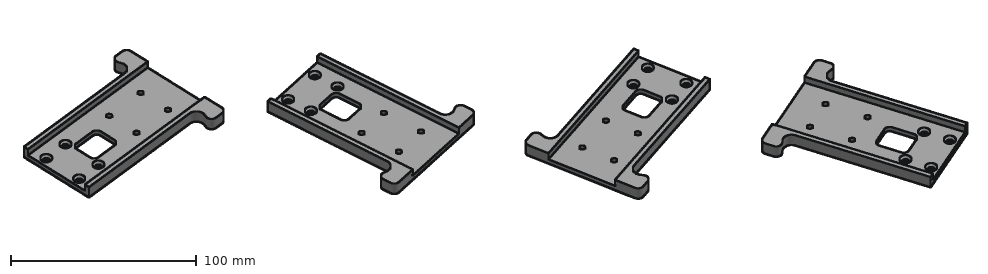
import cadquery as cq
import math

length = 95.25
overall_width = 73.1
height = 7.6
body_width = 47.6

channel_width = 41.6
floor_thickness = 3.2

ear_radius = 3.2
lobe_center_from_back = 8.1
notch_radius = 4.9
notch_center_from_back = 15.05

window_width = 16.1
window_length = 19.05
window_front = 21.5
window_radius = 3.05

plain_diameter = 3.2
plain_spacing_x = 20.0
plain_spacing_y = 25.0
plain_back_row_from_back = 17.4

screw_diameter = 3.4
countersink_diameter = 6.5
countersink_angle = 90.0
screw_spacing_x = 24.1
screw_spacing_y = 15.2
screw_front_row = 5.05


def point_on_circle(center, radius, angle):
    return (center[0] + radius * math.cos(angle), center[1] + radius * math.sin(angle))


def make_right_half():
    """Right half of the plate, with the ear lobe running tangentially into the notch."""
    outer_x = overall_width / 2
    body_x = body_width / 2
    lobe = (outer_x - ear_radius, length - lobe_center_from_back)
    notch = (body_x + notch_radius, length - notch_center_from_back)
    corner = (outer_x - ear_radius, length - ear_radius)

    dx = notch[0] - lobe[0]
    dy = notch[1] - lobe[1]
    to_notch = math.atan2(dy, dx)
    lobe_angle = to_notch + math.acos((ear_radius + notch_radius) / math.hypot(dx, dy))
    notch_angle = lobe_angle + math.pi

    return (
        cq.Workplane("XY")
        .moveTo(0, 0)
        .lineTo(0, length)
        .lineTo(corner[0], length)
        .threePointArc(point_on_circle(corner, ear_radius, math.pi / 4), (outer_x, corner[1]))
        .lineTo(outer_x, lobe[1])
        .threePointArc(
            point_on_circle(lobe, ear_radius, lobe_angle / 2),
            point_on_circle(lobe, ear_radius, lobe_angle),
        )
        .lineTo(*point_on_circle(notch, notch_radius, notch_angle))
        .threePointArc(
            point_on_circle(notch, notch_radius, (notch_angle + math.pi) / 2),
            (body_x, notch[1]),
        )
        .lineTo(body_x, 0)
        .close()
        .extrude(height)
    )


def make_channel():
    return (
        cq.Workplane("XY", origin=(0, length / 2, floor_thickness))
        .rect(channel_width, length)
        .extrude(height - floor_thickness)
    )


def make_window():
    return (
        cq.Workplane("XY", origin=(0, window_front + window_length / 2, 0))
        .rect(window_width, window_length)
        .extrude(floor_thickness)
        .edges("|Z")
        .fillet(window_radius)
    )


def floor_plane(center_y):
    """Workplane on the channel floor, centred on a hole pattern."""
    return cq.Workplane("XY", origin=(0, center_y, floor_thickness))


def make_plain_holes():
    center_y = length - plain_back_row_from_back - plain_spacing_y / 2
    return (
        floor_plane(center_y)
        .rarray(plain_spacing_x, plain_spacing_y, 2, 2)
        .circle(plain_diameter / 2)
        .extrude(-floor_thickness)
    )


right_half = make_right_half()
plate = right_half.union(right_half.mirror("YZ")).clean()
plate = plate.cut(make_channel()).cut(make_window()).cut(make_plain_holes())

screw_center_y = screw_front_row + screw_spacing_y / 2
result = (
    plate.copyWorkplane(floor_plane(screw_center_y))
    .rarray(screw_spacing_x, screw_spacing_y, 2, 2)
    .cskHole(screw_diameter, countersink_diameter, countersink_angle)
)